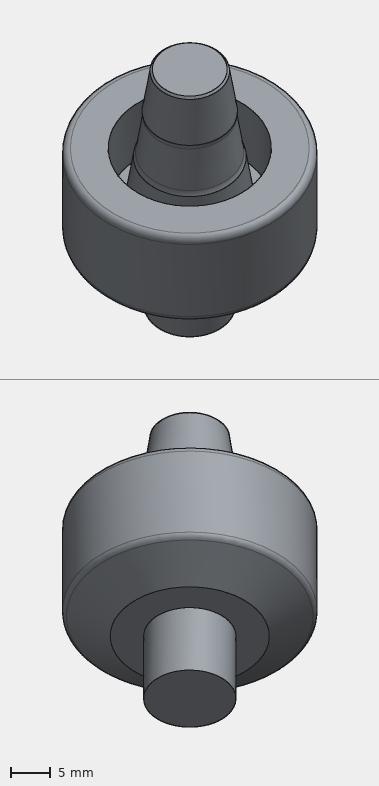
import cadquery as cq
import math

shank_length = 10.0
body_height = 18.0
total_height = 42.1
bore_depth = 10.0

shank_radius = 11.6 / 2
body_radius = 32.0 / 2
bore_radius = 20.5 / 2
underside_radius = 10.0
underside_angle = 30.0
body_rim_fillet = 1.0

pin_taper_angle = 8.0
pin_foot_radius = 16.0 / 2
middle_bottom_radius = 6.83
base_top_radius = 7.1
tip_top_radius = 5.0
tip_chamfer = 0.3
tip_bottom_depth = 7.5
middle_top_depth = 8.25
middle_bottom_depth = 14.8
base_top_depth = 15.6

body_bottom = shank_length
body_top = body_bottom + body_height
bore_floor = body_top - bore_depth
taper = math.tan(math.radians(pin_taper_angle))


def revolve_about_z(outline):
    """Turn a closed half outline in the XZ plane into a solid of revolution."""
    return outline.revolve(360, (0, 0, 0), (0, 1, 0))


def tangent_arc_radius(on_cone, far_end):
    """Radius of the arc that leaves a cone tangentially at one point and ends at another."""
    run = far_end[0] - on_cone[0]
    rise = far_end[1] - on_cone[1]
    chord = math.hypot(run, rise)
    chord_angle = math.atan(run / rise)
    tangent_angle = -math.radians(pin_taper_angle)
    return chord / (2 * math.sin(abs(chord_angle - tangent_angle)))


def make_shank():
    """Plain cylinder below the body."""
    return cq.Workplane("XY").circle(shank_radius).extrude(shank_length)


def make_body():
    """Round body with a conical underside, rounded rims and an open bore on top."""
    underside_rise = (body_radius - underside_radius) * math.tan(math.radians(underside_angle))
    underside_top = body_bottom + underside_rise
    outline = (
        cq.Workplane("XZ")
        .moveTo(0, body_bottom)
        .lineTo(underside_radius, body_bottom)
        .lineTo(body_radius, underside_top)
        .lineTo(body_radius, body_top)
        .lineTo(0, body_top)
        .close()
    )
    body = revolve_about_z(outline)
    outer_rims = cq.selectors.RadiusNthSelector(-1)
    body = body.edges("%CIRCLE").edges(outer_rims).fillet(body_rim_fillet)
    bore = cq.Workplane("XY").workplane(offset=bore_floor).circle(bore_radius).extrude(bore_depth)
    return body.cut(bore)


def make_pin():
    """Tapered pin on the bore floor, with concave arcs joining its three cones."""
    tip_top_z = total_height - tip_chamfer
    tip_bottom_z = total_height - tip_bottom_depth
    middle_top_z = total_height - middle_top_depth
    middle_bottom_z = total_height - middle_bottom_depth
    base_top_z = total_height - base_top_depth
    foot_top_z = base_top_z - (pin_foot_radius - base_top_radius) / taper

    tip_bottom = (tip_top_radius + (tip_top_z - tip_bottom_z) * taper, tip_bottom_z)
    middle_top = (middle_bottom_radius - (middle_top_z - middle_bottom_z) * taper, middle_top_z)
    middle_bottom = (middle_bottom_radius, middle_bottom_z)
    base_top = (base_top_radius, base_top_z)

    outline = (
        cq.Workplane("XZ")
        .moveTo(0, bore_floor)
        .lineTo(pin_foot_radius, bore_floor)
        .lineTo(pin_foot_radius, foot_top_z)
        .lineTo(*base_top)
        .radiusArc(middle_bottom, tangent_arc_radius(middle_bottom, base_top))
        .lineTo(*middle_top)
        .radiusArc(tip_bottom, tangent_arc_radius(middle_top, tip_bottom))
        .lineTo(tip_top_radius, tip_top_z)
        .lineTo(tip_top_radius - tip_chamfer, total_height)
        .lineTo(0, total_height)
        .close()
    )
    return revolve_about_z(outline)


result = make_shank().union(make_body()).union(make_pin())